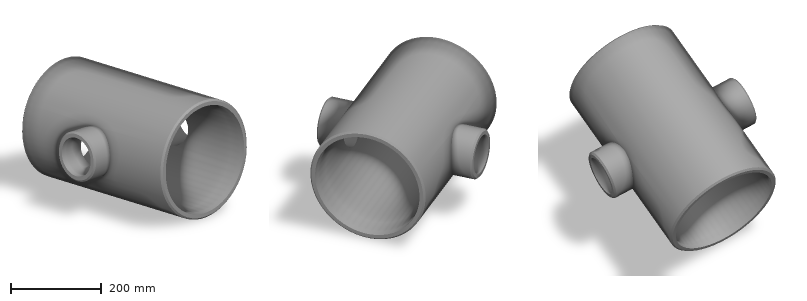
import cadquery as cq

run_length = 431.8
run_diameter = 273.05
run_bore = 247.65

branch_span = 368.3
branch_diameter = 114.3
branch_bore = 88.9

bevel_length = 4.0
bevel_depth = 4.0


def beveled_cylinder(plane, diameter, length):
    """Solid cylinder centred on the origin, bevelled at both ends."""
    radius = diameter / 2
    half_length = length / 2
    return (
        cq.Workplane(plane)
        .moveTo(-half_length, 0)
        .lineTo(-half_length, radius - bevel_depth)
        .lineTo(-half_length + bevel_length, radius)
        .lineTo(half_length - bevel_length, radius)
        .lineTo(half_length, radius - bevel_depth)
        .lineTo(half_length, 0)
        .close()
        .revolve(360, (0, 0, 0), (1, 0, 0))
    )


def through_bore(plane, diameter, length):
    """Plain cylinder centred on the origin, removed to open a pipe."""
    return cq.Workplane(plane).circle(diameter / 2).extrude(length / 2, both=True)


outer_body = beveled_cylinder("XZ", run_diameter, run_length).union(
    beveled_cylinder("YZ", branch_diameter, branch_span)
)

result = outer_body.cut(through_bore("YZ", run_bore, run_length)).cut(
    through_bore("XZ", branch_bore, branch_span)
)